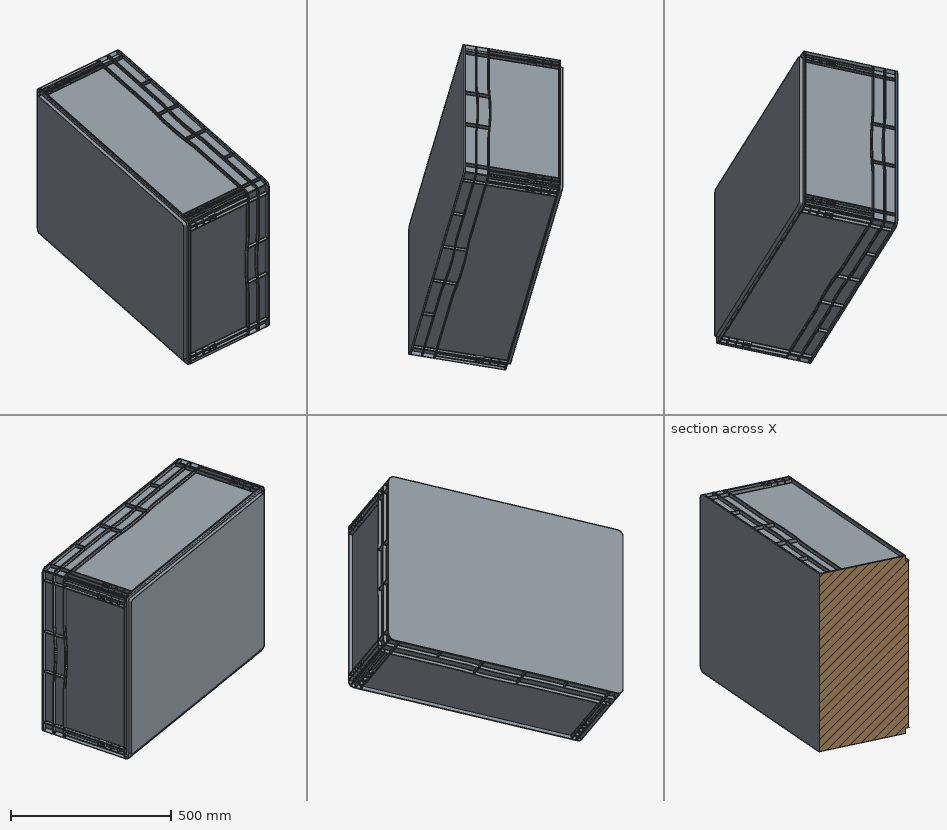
import cadquery as cq

LENGTH = 800.0
DEPTH = 320.0
HEIGHT = 600.0
CORNER_RADIUS = 20.0
PANEL_RECESS = 12.0

PLINTH_HEIGHT = 12.0
PLINTH_INSET = 18.0
PLINTH_RADIUS = 10.0
RIM_THICKNESS = 6.0
FLANGE_THICKNESS = 3.0

RIB = 3.0
UPPER_RIB_START = 39.0
LOWER_RIB_START = 78.0
UPPER_DIP_HALF_WIDTH = 104.0
LOWER_DIP_HALF_WIDTH = 115.0
DIP = 6.0
GRIP_BAR_OFFSET = 73.0
OUTER_BAR_OFFSET = 216.0

INNER_POST_START = 39.0
OUTER_POST_START = 21.0
POST_GAP_START = OUTER_POST_START + RIB
POST_GAP = INNER_POST_START - POST_GAP_START

FIN_LENGTH = 4 * CORNER_RADIUS

RUNGS = ((206.0, 4.0), (228.0, 4.0), (252.0, 3.0), (279.0, 3.0))

FRAME_WALL = 2.0
FRAME_RECESS = PANEL_RECESS / 2
FRAME_START = RUNGS[0][0] + RUNGS[0][1]
FRAME_END = RUNGS[1][0]

RIM_Y = DEPTH / 2
BODY_END = DEPTH - PLINTH_HEIGHT
FLANGE_START = BODY_END - FLANGE_THICKNESS


def rounded_slab(inset, radius, start, end):
    """Rounded rectangle in XZ, between two distances from the rim."""
    return (
        cq.Workplane("XZ", origin=(0, RIM_Y - start, 0))
        .rect(LENGTH - 2 * inset, HEIGHT - 2 * inset)
        .extrude(end - start)
        .edges("|Y")
        .fillet(radius)
    )


def through_bar(across, centre, width, start, end):
    """Bar passing right through the crate, so it shows as a rib on two opposite walls."""
    if across == "Z":
        size = (width, end - start, HEIGHT)
        place = (centre, RIM_Y - (start + end) / 2, 0)
    else:
        size = (LENGTH, end - start, width)
        place = (0, RIM_Y - (start + end) / 2, centre)
    return cq.Workplane("XY").box(*size).translate(place)


def dipped_ribs(across, start, dip_half_width):
    """Ribs on a pair of opposite walls, sagging in an arc towards the base at mid-wall."""
    plane, span, width = ("XY", LENGTH, HEIGHT) if across == "Z" else ("ZY", HEIGHT, LENGTH)
    near = RIM_Y - start
    far = near - RIB
    rib = (
        cq.Workplane(plane)
        .workplane(offset=width / 2 - CORNER_RADIUS)
        .moveTo(-span / 2, near)
        .lineTo(-dip_half_width, near)
        .threePointArc((0, near - DIP), (dip_half_width, near))
        .lineTo(span / 2, near)
        .lineTo(span / 2, far)
        .lineTo(dip_half_width, far)
        .threePointArc((0, far - DIP), (-dip_half_width, far))
        .lineTo(-span / 2, far)
        .close()
        .extrude(CORNER_RADIUS)
    )
    return [rib, rib.mirror(plane)]


def corner_fins():
    """Thin diagonal fins at the four corners, the full depth of the body."""
    fins = []
    for side_x in (-1, 1):
        for side_z in (-1, 1):
            fin = (
                cq.Workplane("XY")
                .box(FIN_LENGTH, BODY_END, RIB)
                .rotate((0, 0, 0), (0, 1, 0), -45 * side_x * side_z)
                .translate((
                    side_x * (LENGTH / 2 - CORNER_RADIUS),
                    RIM_Y - BODY_END / 2,
                    side_z * (HEIGHT / 2 - CORNER_RADIUS),
                ))
            )
            fins.append(fin.val())
    return fins


def wall_ribs(across):
    """All ribs of one pair of opposite walls."""
    half = (LENGTH if across == "Z" else HEIGHT) / 2
    lower_end = LOWER_RIB_START + RIB
    ribs = dipped_ribs(across, UPPER_RIB_START, UPPER_DIP_HALF_WIDTH)
    ribs += dipped_ribs(across, LOWER_RIB_START, LOWER_DIP_HALF_WIDTH)
    for side in (-1, 1):
        inner_post = side * (half - INNER_POST_START - RIB / 2)
        outer_post = side * (half - OUTER_POST_START - RIB / 2)
        rung_centre = side * (half - POST_GAP_START - POST_GAP / 2)
        ribs.append(through_bar(across, inner_post, RIB, 0, BODY_END))
        ribs.append(through_bar(across, outer_post, RIB, lower_end, BODY_END))
        ribs.append(through_bar(across, side * GRIP_BAR_OFFSET, RIB, 0, lower_end))
        if across == "Z":
            ribs.append(through_bar(across, side * OUTER_BAR_OFFSET, RIB, 0, UPPER_RIB_START + RIB))
        for start, thickness in RUNGS:
            ribs.append(through_bar(across, rung_centre, POST_GAP, start, start + thickness))
    return [rib.val() for rib in ribs]


def socket_frames(across):
    """Low rectangular frames between the posts of one pair of opposite walls."""
    half = (LENGTH if across == "Z" else HEIGHT) / 2
    limit = rounded_slab(FRAME_RECESS, CORNER_RADIUS - FRAME_RECESS, 0, BODY_END)
    frames = []
    for side in (-1, 1):
        centre = side * (half - POST_GAP_START - POST_GAP / 2)
        block = through_bar(across, centre, POST_GAP, FRAME_START, FRAME_END)
        opening = through_bar(
            across, centre, POST_GAP - 2 * FRAME_WALL, FRAME_START + FRAME_WALL, FRAME_END - FRAME_WALL
        )
        frames.append(block.cut(opening).intersect(limit).val())
    return frames


envelope = rounded_slab(0, CORNER_RADIUS, 0, BODY_END)
core = rounded_slab(PANEL_RECESS, CORNER_RADIUS - PANEL_RECESS, 0, BODY_END)
rim = rounded_slab(0, CORNER_RADIUS, 0, RIM_THICKNESS)
flange = rounded_slab(0, CORNER_RADIUS, FLANGE_START, BODY_END)
plinth = rounded_slab(PLINTH_INSET, PLINTH_RADIUS, FLANGE_START, DEPTH)

pieces = corner_fins() + [rim.val(), flange.val()]
for direction in ("Z", "X"):
    pieces += wall_ribs(direction) + socket_frames(direction)
body = cq.Workplane(core.val().fuse(*pieces)).intersect(envelope)
result = body.union(plinth)